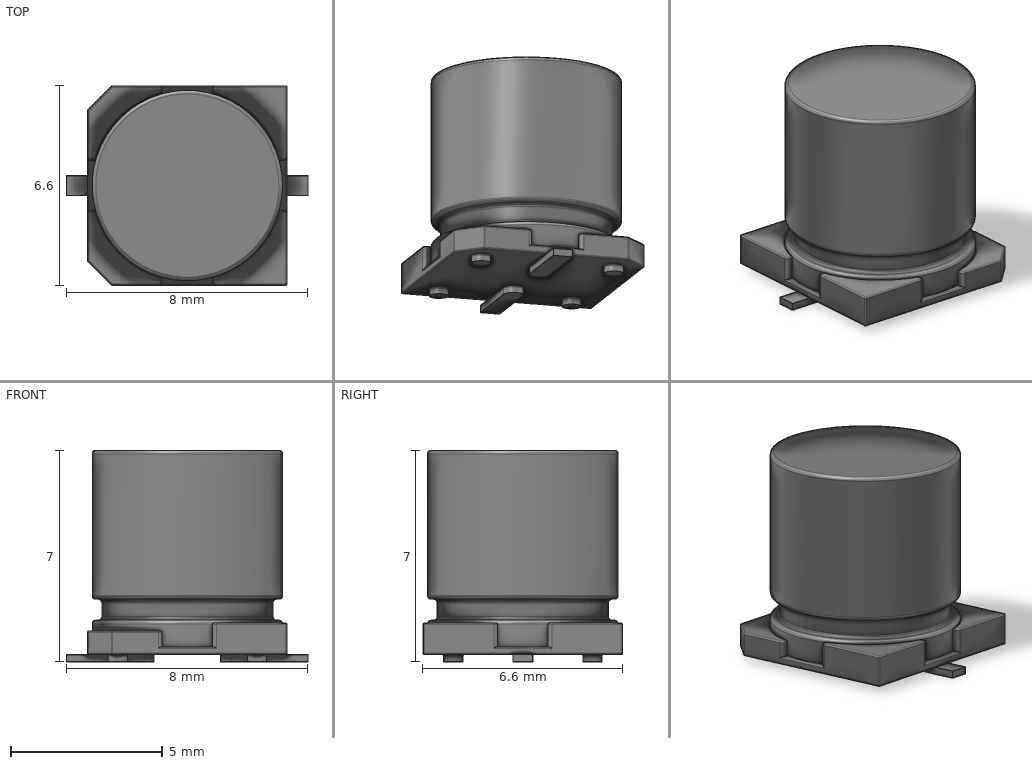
import cadquery as cq
import math

overall_length = 8.0
overall_height = 7.0
base_width = 6.6
standoff = 0.24

floor_z = 0.5
low_pad_z = 1.02
high_pad_z = 1.28
corner_chamfer = 0.8
edge_round = 0.05
notch_half_width = 0.83
bore_radius = 3.17
tip_outer_round = 0.13
tip_inner_round = 0.06

can_radius = 6.3 / 2
neck_radius = 5.67 / 2
flange_top_z = 1.38
can_bottom_z = 2.07
can_round = 0.12

foot_diameter = 0.63
foot_offset = 2.3
foot_root_fillet = 0.04
lead_width = 0.66
lead_inner_x = 1.1

half_base = base_width / 2


def outline_prism(bottom_z, top_z):
    """Prism with the base outline: two chamfered corners and softened vertical edges."""
    prism = (
        cq.Workplane("XY")
        .workplane(offset=bottom_z)
        .rect(base_width, base_width)
        .extrude(top_z - bottom_z)
    )
    prism = prism.edges("|Z and <X").chamfer(corner_chamfer)
    return prism.edges("|Z").fillet(edge_round)


def round_tips(prism, distance, radius):
    """Round the upright edge on both notch walls at this distance along the wall."""
    mid_z = standoff + overall_height / 2
    for x, y in ((notch_half_width, distance), (distance, notch_half_width)):
        nearest = cq.selectors.NearestToPointSelector((x, y, mid_z))
        prism = prism.edges(nearest).fillet(radius)
    return prism


def pad_footprint(x_side, y_side):
    """Tall prism over one corner of the base, with rounded tips beside the notches."""
    pad_size = half_base - notch_half_width
    pad_center = (half_base + notch_half_width) / 2
    prism = (
        cq.Workplane("XY")
        .workplane(offset=standoff)
        .center(pad_center, pad_center)
        .rect(pad_size, pad_size)
        .extrude(overall_height)
    )
    bore = cq.Workplane("XY").circle(bore_radius).extrude(2 * overall_height)
    prism = prism.cut(bore)
    wall_end = math.sqrt(bore_radius**2 - notch_half_width**2)
    prism = round_tips(prism, half_base, tip_outer_round)
    prism = round_tips(prism, wall_end, tip_inner_round)
    if x_side < 0:
        prism = prism.mirror("YZ")
    if y_side < 0:
        prism = prism.mirror("XZ")
    return prism


def make_pad(x_side, y_side, top_z):
    """Corner pad with a rounded rim all around its top face."""
    pad = outline_prism(floor_z - edge_round, top_z).intersect(pad_footprint(x_side, y_side))
    return pad.faces(">Z").edges().fillet(edge_round)


def make_base():
    plate = outline_prism(standoff, floor_z)
    base = plate.faces("<Z or >Z").edges().fillet(edge_round)
    for x_side, pad_z in ((-1, low_pad_z), (1, high_pad_z)):
        for y_side in (-1, 1):
            base = base.union(make_pad(x_side, y_side, pad_z))
    return base


def make_can():
    """Round can with a groove forming the neck above the bottom flange."""
    flange_bottom_z = standoff + edge_round
    can = (
        cq.Workplane("XY")
        .workplane(offset=flange_bottom_z)
        .circle(can_radius)
        .extrude(overall_height - flange_bottom_z)
    )
    groove = (
        cq.Workplane("XY")
        .workplane(offset=flange_top_z)
        .circle(2 * can_radius)
        .circle(neck_radius)
        .extrude(can_bottom_z - flange_top_z)
    )
    return can.cut(groove).edges("%CIRCLE").edges("not(<Z)").fillet(can_round)


def make_lead(x_side):
    """Flat lead, square at the outer end and fully rounded at the inner end."""
    tip_radius = lead_width / 2
    arc_start_x = lead_inner_x + tip_radius
    return (
        cq.Workplane("XY")
        .moveTo(x_side * overall_length / 2, -tip_radius)
        .lineTo(x_side * arc_start_x, -tip_radius)
        .threePointArc((x_side * lead_inner_x, 0), (x_side * arc_start_x, tip_radius))
        .lineTo(x_side * overall_length / 2, tip_radius)
        .close()
        .extrude(standoff)
    )


def make_foot(x_side, y_side):
    """Round foot that flares into the underside of the base."""
    foot_radius = foot_diameter / 2
    return (
        cq.Workplane("XZ")
        .lineTo(foot_radius, 0)
        .lineTo(foot_radius, standoff - foot_root_fillet)
        .radiusArc((foot_radius + foot_root_fillet, standoff), foot_root_fillet)
        .lineTo(0, standoff)
        .close()
        .revolve(360, (0, 0), (0, 1))
        .translate((x_side * foot_offset, y_side * foot_offset, 0))
    )


result = make_base().union(make_can())
for x_side in (-1, 1):
    result = result.union(make_lead(x_side))
    for y_side in (-1, 1):
        result = result.union(make_foot(x_side, y_side))